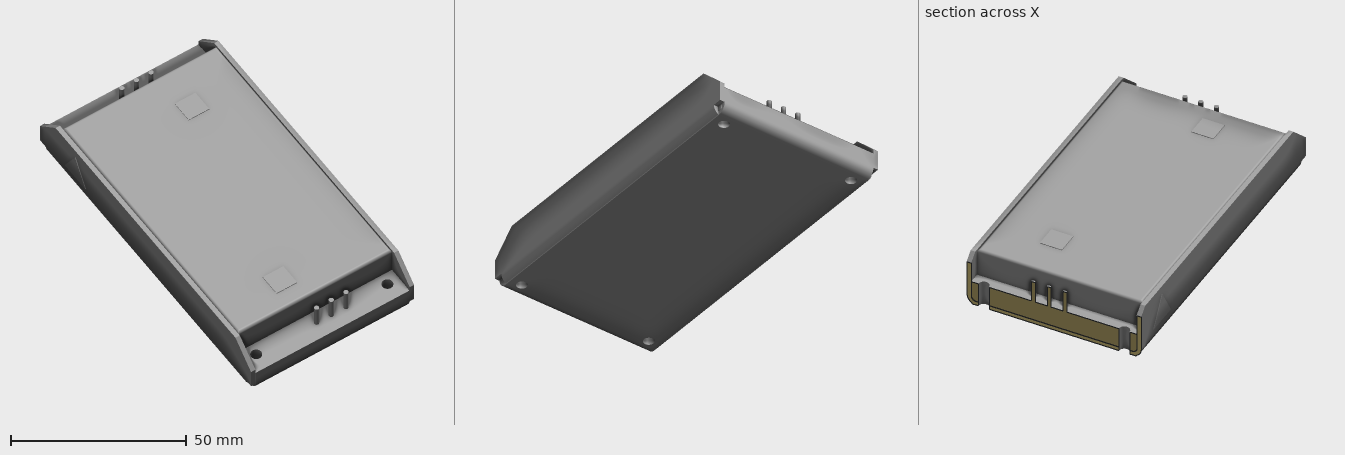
import cadquery as cq
import math

MARK_HEIGHT = 0.2
SQUARE_SIDE = 7.1
SQUARE_CENTERS = [(-30.2, 8.5), (35.5, -5.9)]
TRIANGLE_SIDE = 10.5
TRIANGLE_HEIGHT = TRIANGLE_SIDE * math.sin(math.radians(60))
TRIANGLE_X = -35.4
TRIANGLE_BASE_Z = 5.2

LENGTH = 107.0
WIDTH = 56.2 - MARK_HEIGHT
HEIGHT = 17.2 - MARK_HEIGHT

SHEET = 1.5
BEND_RADIUS = 2 * SHEET
INNER_BEND_RADIUS = BEND_RADIUS - SHEET
CORNER_GAP = 0.1
SLOPE_LENGTH = 7.9
SLOPE_START_HEIGHT = 9.5
LEDGE_HEIGHT = 8.0

INNER_LENGTH = LENGTH - 2 * SHEET
INNER_WIDTH = WIDTH - 2 * SHEET
CAP_INSET = 9.0
CAP_FILLET = 1.0

HOLE_DIAMETER = 3.4
HOLE_INSET = 5.5

PIN_DIAMETER = 1.5
PIN_TOP = 15.0
PIN_INSET = 5.2
PIN_PITCH = 5.0
LEFT_MIDDLE_PIN_Y = 1.6
RIGHT_MIDDLE_PIN_Y = 3.1


def box(length, width, bottom, top):
    """Box centred on the Z axis between two heights."""
    return cq.Workplane("XY", origin=(0, 0, bottom)).rect(length, width).extrude(top - bottom)


def bent_channel(length, width):
    """U-shaped sheet along Y, open at the top, with rounded bends at both X ends."""
    outside = box(length, width, 0, LEDGE_HEIGHT)
    outside = outside.faces("<Z").edges("|Y").fillet(BEND_RADIUS)
    inside = box(length - 2 * SHEET, width, SHEET, LEDGE_HEIGHT)
    inside = inside.faces("<Z").edges("|Y").fillet(INNER_BEND_RADIUS)
    return outside.cut(inside)


def make_side_wall(side):
    """Full-length side wall above the bend, with sloping upper corners."""
    end = LENGTH / 2
    top_end = end - SLOPE_LENGTH
    outline = [
        (-end, BEND_RADIUS),
        (end, BEND_RADIUS),
        (end, SLOPE_START_HEIGHT),
        (top_end, HEIGHT),
        (-top_end, HEIGHT),
        (-end, SLOPE_START_HEIGHT),
    ]
    wall = cq.Workplane("XZ").polyline(outline).close().extrude(SHEET / 2, both=True)
    return wall.translate((0, side * (WIDTH - SHEET) / 2, 0))


def make_triangle_mark():
    """Triangle raised from the outer face of the -Y side wall."""
    half_side = TRIANGLE_SIDE / 2
    return (
        cq.Workplane("XZ", origin=(TRIANGLE_X, -WIDTH / 2, TRIANGLE_BASE_Z))
        .polyline([(-half_side, 0), (half_side, 0), (0, TRIANGLE_HEIGHT)])
        .close()
        .extrude(MARK_HEIGHT)
    )


def make_square_marks():
    return (
        cq.Workplane("XY", origin=(0, 0, HEIGHT))
        .pushPoints(SQUARE_CENTERS)
        .rect(SQUARE_SIDE, SQUARE_SIDE)
        .extrude(MARK_HEIGHT)
    )


def make_mounting_holes():
    """Cylinders that cut the four corner holes through both bodies."""
    return (
        cq.Workplane("XY")
        .rect(LENGTH - 2 * HOLE_INSET, WIDTH - 2 * HOLE_INSET, forConstruction=True)
        .vertices()
        .circle(HOLE_DIAMETER / 2)
        .extrude(HEIGHT)
    )


def make_pin(x, y):
    return (
        cq.Workplane("XY", origin=(x, y, LEDGE_HEIGHT))
        .circle(PIN_DIAMETER / 2)
        .extrude(PIN_TOP - LEDGE_HEIGHT)
    )


def make_tray():
    """Bent sheet tray with open corners, before the holes and the mark."""
    tray = bent_channel(LENGTH, INNER_WIDTH - 2 * CORNER_GAP)
    side_channel = bent_channel(WIDTH, LENGTH - 2 * BEND_RADIUS)
    side_channel = side_channel.rotate((0, 0, 0), (0, 0, 1), 90)
    tray = tray.union(side_channel)
    for side in (-1, 1):
        tray = tray.union(make_side_wall(side))
    return tray


def make_housing():
    return make_tray().union(make_triangle_mark()).cut(make_mounting_holes())


def make_block(housing):
    """Potting that fills the tray, with a raised cap between two ledges that carry pins."""
    block = box(INNER_LENGTH, INNER_WIDTH, SHEET, LEDGE_HEIGHT).cut(housing)
    block = block.cut(make_mounting_holes())
    cap = box(LENGTH - 2 * CAP_INSET, INNER_WIDTH, LEDGE_HEIGHT, HEIGHT)
    cap = cap.faces(">Z").edges().fillet(CAP_FILLET)
    block = block.union(cap).union(make_square_marks())
    for side, middle_y in ((-1, LEFT_MIDDLE_PIN_Y), (1, RIGHT_MIDDLE_PIN_Y)):
        for step in (-1, 0, 1):
            x = side * (LENGTH / 2 - PIN_INSET)
            block = block.union(make_pin(x, middle_y + step * PIN_PITCH))
    return block


housing = make_housing()
block = make_block(housing)
result = cq.Compound.makeCompound([housing.solids().val(), block.solids().val()])